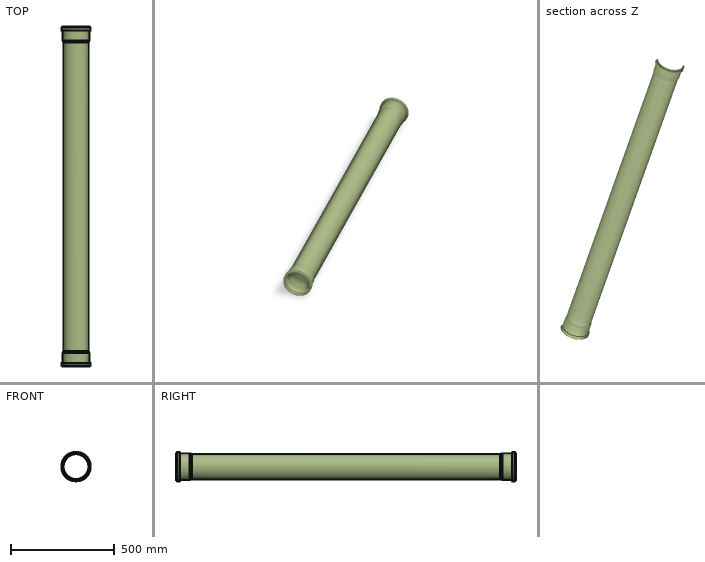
import cadquery as cq

length = 1650.0
pipe_bore = 119.0
pipe_diameter = 125.2

socket_bore = 126.2
socket_diameter = 131.8
socket_depth = 66.0
taper_length = 10.0

groove_diameter = 138.8
bead_diameter = 144.4
bead_start = 4.5
bead_end = 21.0
bead_slope = 1.5
groove_inset = 1.5

lip_bore = 126.0
lip_diameter = 131.6


def wall_profile(lip, bead, socket, pipe, inset, taper_shift):
    """Points of one wall surface in the XY plane, from the -Y end to the +Y end.

    The first four arguments are diameters; inset shortens the bead at both sides
    and taper_shift moves the taper away from the end face.
    """
    bead_from = bead_start + inset
    bead_to = bead_end - inset
    taper_from = socket_depth + taper_shift
    near_end = [
        (lip / 2, 0.0),
        (lip / 2, bead_from),
        (bead / 2, bead_from + bead_slope),
        (bead / 2, bead_to - bead_slope),
        (socket / 2, bead_to),
        (socket / 2, taper_from),
        (pipe / 2, taper_from + taper_length),
    ]
    far_end = [(radius, length - y) for radius, y in reversed(near_end)]
    return [(radius, y - length / 2) for radius, y in near_end + far_end]


pipe_wall = (pipe_diameter - pipe_bore) / 2
outer_wall = wall_profile(lip_diameter, bead_diameter, socket_diameter, pipe_diameter, 0.0, 0.0)
inner_wall = wall_profile(lip_bore, groove_diameter, socket_bore, pipe_bore, groove_inset, pipe_wall)

half_section = cq.Workplane("XY").polyline(outer_wall + inner_wall[::-1]).close()
result = half_section.revolve(360, (0, 1, 0), (0, 0, 0))